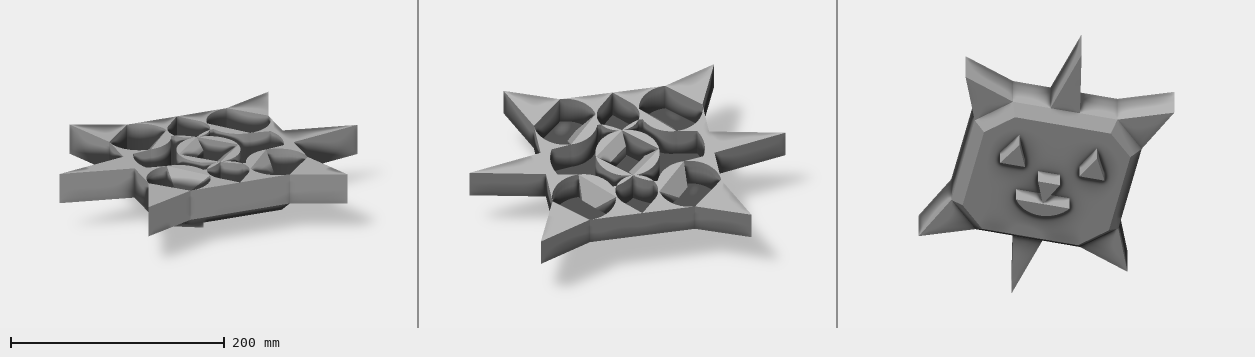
import cadquery as cq
import math

length = 300.0
width = length * 2 / 3
plate_thickness = 30.0
end_spike_half_base = 14.0

pocket_radius = 30.0
pocket_offset = width / 4
plate_half = pocket_offset + pocket_radius
pocket_chord_angle = 99.5
pocket_wedge_run = 12.5
pocket_wedge_inset = plate_thickness / 2

hub_radius = 30.0
hub_wedge_run = 10.5
hub_wedge_inset = 8.5

teardrop_radius = pocket_offset - hub_radius
teardrop_corner_x = 40.8
teardrop_rim_bulge = 1.05

hub_cavity_end_half_width = 16.8
hub_cavity_shoulder_y = 69.0
hub_cavity_end_y = 73.0

base_depth = 10.0
base_taper = 45.0
face_depth = 15.0
eye_outer_x = pocket_offset
eye_apex_x = 37.2
eye_inner_x = 26.0
eye_base_y = -pocket_offset / 2
eye_apex_y = -pocket_offset
mouth_chord_y = 15.5
mouth_radius = hub_radius
nose_half_width = 10.5
nose_base_y = -10.5

pocket_centre = (pocket_offset, pocket_offset)
teardrop_centre = (pocket_offset, 0)
octagon = [
    (plate_half, -pocket_offset),
    (plate_half, pocket_offset),
    (pocket_offset, plate_half),
    (-pocket_offset, plate_half),
    (-plate_half, pocket_offset),
    (-plate_half, -pocket_offset),
    (-pocket_offset, -plate_half),
    (pocket_offset, -plate_half),
]


def on_circle(centre, radius, degrees):
    """Point on a circle at an angle from +X."""
    angle = math.radians(degrees)
    return (centre[0] + radius * math.cos(angle), centre[1] + radius * math.sin(angle))


def on_circle_at_x(centre, radius, x, side):
    """Point on the upper (side = 1) or lower (side = -1) half of a circle at a given x."""
    return (x, centre[1] + side * math.sqrt(radius**2 - (x - centre[0]) ** 2))


def flip_x(point):
    """Mirror image of a point, left to right."""
    return (-point[0], point[1])


def flip_y(point):
    """Mirror image of a point, top to bottom."""
    return (point[0], -point[1])


def both_ways(shape, plane):
    """A shape and its mirror image."""
    return [shape, shape.mirror(plane)]


def four_ways(shape):
    """A shape and its mirror images in the other three quadrants."""
    return [copy for half in both_ways(shape, "YZ") for copy in both_ways(half, "XZ")]


def wedge(start, end, run, inset):
    """Wedge on the left of the upright wall from start to end, inset on all four sides as it runs out."""
    chord = math.dist(start, end)
    along = ((end[0] - start[0]) / chord, (end[1] - start[1]) / chord, 0)
    plan_plane = cq.Plane((start[0], start[1], 0), along, (0, 0, 1))
    plan = [(0, 0), (chord, 0), (chord - inset, run), (inset, run)]
    body = cq.Workplane(plan_plane).polyline(plan).close().extrude(plate_thickness)
    section_plane = cq.Plane(plan_plane.origin, plan_plane.yDir, plan_plane.xDir)
    section = [(0, 0), (run, inset)]
    if plate_thickness > 2 * inset:
        section.append((run, plate_thickness - inset))
    section.append((0, plate_thickness))
    profile = cq.Workplane(section_plane).polyline(section).close().extrude(chord)
    return body.intersect(profile)


chord_start = on_circle(pocket_centre, pocket_radius, 180)
chord_end = on_circle(pocket_centre, pocket_radius, 180 + pocket_chord_angle)


def pocket():
    """Round pocket cut off by the corner spike outside and by a straight wall inside."""
    upper_arc_angle = 135
    outer_arc_angle = -45
    outline = (
        cq.Workplane()
        .moveTo(*chord_start)
        .threePointArc(on_circle(pocket_centre, pocket_radius, upper_arc_angle), (pocket_offset, plate_half))
        .lineTo(plate_half, pocket_offset)
        .threePointArc(on_circle(pocket_centre, pocket_radius, outer_arc_angle), chord_end)
        .close()
    )
    space = outline.extrude(plate_thickness)
    return space.cut(wedge(chord_start, chord_end, pocket_wedge_run, pocket_wedge_inset))


rim_corner = on_circle_at_x(teardrop_centre, teardrop_radius, teardrop_corner_x, 1)


def teardrop():
    """Cavity that comes to a point on the +X side of the plate."""
    tangent_angle = math.degrees(math.acos(teardrop_radius / (plate_half - pocket_offset)))
    tangent = on_circle(teardrop_centre, teardrop_radius, tangent_angle)
    top = on_circle(teardrop_centre, teardrop_radius, 90)
    hub_point = (hub_radius, 0)
    chord = math.dist(rim_corner, hub_point)
    rim_middle = (
        (rim_corner[0] + hub_point[0]) / 2 + teardrop_rim_bulge * rim_corner[1] / chord,
        rim_corner[1] / 2 - teardrop_rim_bulge * (rim_corner[0] - hub_radius) / chord,
    )
    return (
        cq.Workplane()
        .moveTo(plate_half, 0)
        .lineTo(*tangent)
        .threePointArc(top, rim_corner)
        .threePointArc(rim_middle, hub_point)
        .threePointArc(flip_y(rim_middle), flip_y(rim_corner))
        .threePointArc(flip_y(top), flip_y(tangent))
        .close()
        .extrude(plate_thickness)
    )


def hub_cavity():
    """Cavity around the hub, between the pockets and the teardrops."""
    shoulder = (hub_cavity_end_half_width, hub_cavity_shoulder_y)
    inner_corner = on_circle_at_x(pocket_centre, pocket_radius, teardrop_corner_x, -1)
    inner_arc_angle = 225
    rim_arc_angle = 150
    pocket_side = on_circle(pocket_centre, pocket_radius, inner_arc_angle)
    rim_side = on_circle(teardrop_centre, teardrop_radius, rim_arc_angle)
    half = (
        cq.Workplane()
        .moveTo(-hub_radius, 0)
        .threePointArc(flip_x(rim_side), flip_x(rim_corner))
        .lineTo(*flip_x(inner_corner))
        .threePointArc(flip_x(pocket_side), flip_x(chord_start))
        .lineTo(*flip_x(shoulder))
        .threePointArc((0, hub_cavity_end_y), shoulder)
        .lineTo(*chord_start)
        .threePointArc(pocket_side, inner_corner)
        .lineTo(*rim_corner)
        .threePointArc(rim_side, (hub_radius, 0))
        .close()
        .extrude(plate_thickness)
    )
    return half.union(half.mirror("XZ"))


def hub():
    """Round hub with a square well, and wedges on two opposite walls of the well."""
    square = [(hub_radius, 0), (0, hub_radius), (-hub_radius, 0), (0, -hub_radius)]
    well = cq.Workplane().polyline(square).close().extrude(plate_thickness)
    for start, end in (square[:2], square[2:]):
        well = well.cut(wedge(start, end, hub_wedge_run, hub_wedge_inset))
    return cq.Workplane().circle(hub_radius).extrude(plate_thickness).cut(well)


def end_spike():
    """Long spike on the +Y end of the plate."""
    outline = [(-end_spike_half_base, plate_half), (end_spike_half_base, plate_half), (0, length / 2)]
    return cq.Workplane().polyline(outline).close().extrude(plate_thickness)


def housing():
    """Plate with its cavities and end spikes, on the tapered base."""
    body = cq.Workplane().polyline(octagon).close().extrude(plate_thickness)
    body = body.cut(hub_cavity().cut(hub()))
    for cavity in four_ways(pocket()) + both_ways(teardrop(), "YZ"):
        body = body.cut(cavity)
    for spike in both_ways(end_spike(), "XZ"):
        body = body.union(spike)
    base = cq.Workplane().polyline(octagon).close().extrude(-base_depth, taper=base_taper)
    return body.union(base)


def corner_spike():
    """Spike outside the slanting edge of the +X +Y corner."""
    outline = [(plate_half, pocket_offset), (width / 2, width / 2), (pocket_offset, plate_half)]
    return cq.Workplane().polyline(outline).close().extrude(plate_thickness)


def face_plane():
    """Underside of the base, where the parts of the face hang."""
    return cq.Workplane(origin=(0, 0, -base_depth))


def eye():
    """Triangular eye on the +X side."""
    outline = [(eye_inner_x, eye_base_y), (eye_apex_x, eye_apex_y), (eye_outer_x, eye_base_y)]
    return face_plane().polyline(outline).close().extrude(-face_depth)


def nose():
    """Triangular nose whose tip touches the mouth."""
    outline = [(0, mouth_chord_y), (-nose_half_width, nose_base_y), (nose_half_width, nose_base_y)]
    return face_plane().polyline(outline).close().extrude(-face_depth)


def mouth():
    """Segment of a circle above a straight chord."""
    corner = (math.sqrt(mouth_radius**2 - mouth_chord_y**2), mouth_chord_y)
    return (
        face_plane()
        .moveTo(*flip_x(corner))
        .threePointArc((0, mouth_radius), corner)
        .close()
        .extrude(-face_depth)
    )


spikes = [spike.val() for spike in four_ways(corner_spike())]
eyes = [copy.val() for copy in both_ways(eye(), "YZ")]
result = cq.Compound.makeCompound([housing().solids().val(), *spikes, *eyes, nose().val(), mouth().val()])